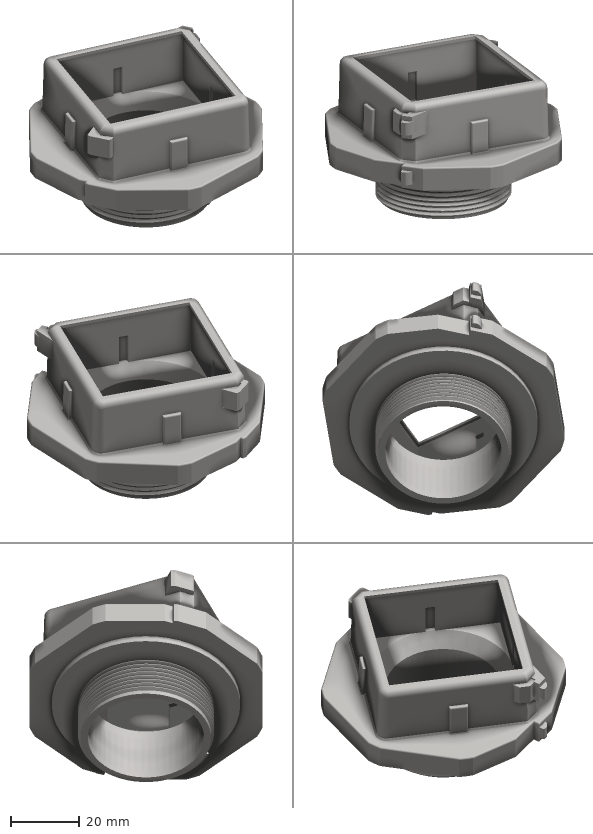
import cadquery as cq
import math

collar_bottom = 13.0
flange_bottom = 15.0
flange_top = 22.0
total_height = 39.7

thread_root_radius = 19.0
thread_crest_radius = 19.92
thread_pitch = 1.5
thread_start_z = 0.92
thread_turns = 8
thread_crest_width = 0.2
thread_root_width = 1.24
thread_overlap = 0.15
collar_radius = 27.5

flange_sides = 8
flange_turn = 180 / flange_sides
flange_across_flats = 68.0
flange_corner_radius = 36.0
flange_edge_fillet = 0.5
back_flat_y = 34.45
back_step_x = 0.95
back_step_y = 32.55
front_flat_y = -34.92
front_step_x = -5.53
front_step_y = -33.5
step_chamfer_x = 1.08
step_chamfer_y = 0.45

socket_turn = 45
wall_turns = [socket_turn + 90 * wall for wall in range(4)]
socket_half_base = 23.75
socket_draft = 1.5
socket_side_corner_radius = 3.0
socket_flat_y = 31.3
socket_rim_fillet = 2.0
socket_foot = 0.5
foot_bevel_angle = 45
opening_half = 19.87
lip_height = 1.0
cavity_half = 20.7
cavity_floor = 22.2

bore_radius = 17.0
cone_top_radius = 21.0
cone_depth = 4.0

rib_width = 5.5
rib_reach = 24.83
rib_root = 22.5
rib_height = 9.85
rib_foot_depth = 0.22
rib_foot_height = 0.3
rib_fillet = 0.5
rib_slot_width = 2.9
rib_slot_reach = 22.05
rib_slot_top = 31.5

lug_bottom = 30.8
lug_top = 37.1
front_lug_y = -32.87
front_lug_right = 1.95
front_lug_corner_radius = 1.1
front_lug_slit_y = -31.2
front_lug_slit_left = -2.1
lug_split_x = -0.15
back_lug_right = 5.0
back_lug_chamfer = 2.3
hook_bottom = 30.55
hook_height = flange_top - flange_bottom
hook_root_x = -5.0
hook_root_y = 28.0
hook_end_x = -2.3

tip_height = 4.0
tip_inset = (hook_height - tip_height) / 2
tip_root_y = 33.46
tip_left = -2.78
tip_bulge_x = -2.25
tip_bulge_y = 34.85
tip_right = 0.74
tip_end_y = 36.07
tip_crown_x = -0.8
tip_corner_radius = 0.55

outline_reach = 2 * flange_corner_radius


def prism(points, bottom, height):
    """Upright prism over a closed polygon."""
    return cq.Workplane("XY").workplane(offset=bottom).polyline(points).close().extrude(height)


def cylinder(radius, bottom, top):
    return cq.Workplane("XY").workplane(offset=bottom).circle(radius).extrude(top - bottom)


def square_block(half, bottom, top):
    """Square prism with its corners on the X and Y axes."""
    block = cq.Workplane("XY").workplane(offset=bottom).rect(2 * half, 2 * half).extrude(top - bottom)
    return block.rotate((0, 0, 0), (0, 0, 1), socket_turn)


def make_thread():
    """Right-hand helical ridge, slightly sunk into the spigot."""
    height = thread_turns * thread_pitch
    root = thread_root_radius - thread_overlap
    helix = cq.Wire.makeHelix(thread_pitch, height, thread_root_radius)
    profile = [
        (root, -thread_root_width / 2),
        (thread_root_radius, -thread_root_width / 2),
        (thread_crest_radius, -thread_crest_width / 2),
        (thread_crest_radius, thread_crest_width / 2),
        (thread_root_radius, thread_root_width / 2),
        (root, thread_root_width / 2),
    ]
    ridge = cq.Workplane("XZ").polyline(profile).close().sweep(cq.Workplane(helix), isFrenet=True)
    return ridge.translate((0, 0, thread_start_z))


def make_flange():
    """Octagon with rounded corners, stepped along its back and front flats."""
    height = flange_top - flange_bottom
    base = cq.Workplane("XY").workplane(offset=flange_bottom)
    octagon = base.polygon(flange_sides, flange_across_flats, circumscribed=True).extrude(height)
    octagon = octagon.rotate((0, 0, 0), (0, 0, 1), flange_turn)
    rounded = octagon.intersect(cylinder(flange_corner_radius, flange_bottom, flange_top))
    stepped_outline = [
        (-outline_reach, back_flat_y),
        (back_step_x, back_flat_y),
        (back_step_x, back_step_y),
        (outline_reach, back_step_y),
        (outline_reach, front_flat_y),
        (front_step_x + step_chamfer_x, front_flat_y),
        (front_step_x, front_flat_y + step_chamfer_y),
        (front_step_x, front_step_y),
        (-outline_reach, front_step_y),
    ]
    flange = rounded.intersect(prism(stepped_outline, flange_bottom, height))
    return flange.faces(">Z").edges().fillet(flange_edge_fillet)


def socket_outline(bottom, margin):
    """Square outline with rounded X corners and flat Y corners, grown outward by margin."""
    half = socket_half_base + margin
    diagonal = half * math.sqrt(2)
    flat_y = socket_flat_y + margin
    flat_x = diagonal - flat_y
    radius = socket_side_corner_radius + margin
    arc_tip = diagonal - radius * (math.sqrt(2) - 1)
    arc_y = radius / math.sqrt(2)
    arc_x = diagonal - arc_y
    return (
        cq.Workplane("XY").workplane(offset=bottom)
        .moveTo(-flat_x, -flat_y)
        .lineTo(flat_x, -flat_y)
        .lineTo(arc_x, -arc_y)
        .threePointArc((arc_tip, 0), (arc_x, arc_y))
        .lineTo(flat_x, flat_y)
        .lineTo(-flat_x, flat_y)
        .lineTo(-arc_x, arc_y)
        .threePointArc((-arc_tip, 0), (-arc_x, -arc_y))
        .close()
    )


def make_socket():
    """Drafted solid block with a rounded rim and a bevelled foot."""
    block = socket_outline(flange_top, 0).extrude(total_height - flange_top, taper=socket_draft)
    block = block.faces(">Z").edges().fillet(socket_rim_fillet)
    foot = socket_outline(flange_top, socket_foot).extrude(socket_foot, taper=foot_bevel_angle)
    return block.union(foot)


def make_rib(turn):
    """Rib with a bevelled foot, its outer face following the draft of the socket wall."""
    lean = rib_height * math.tan(math.radians(socket_draft))
    rib_top = flange_top + rib_height
    side = [
        (rib_root, flange_top),
        (rib_reach, flange_top),
        (rib_reach - lean, rib_top),
        (rib_root, rib_top),
    ]
    rib = cq.Workplane("XZ").polyline(side).close().extrude(rib_width / 2, both=True)
    rib = rib.faces(">X").edges("not <Z").fillet(rib_fillet)
    foot_side = [
        (rib_root, flange_top),
        (rib_reach + rib_foot_depth, flange_top),
        (rib_reach, flange_top + rib_foot_height),
        (rib_root, flange_top + rib_foot_height),
    ]
    rib = rib.union(cq.Workplane("XZ").polyline(foot_side).close().extrude(rib_width / 2, both=True))
    return rib.rotate((0, 0, 0), (0, 0, 1), turn)


def make_rib_slot(turn):
    """Groove in the inner wall behind a rib."""
    slot = cq.Workplane("XY").box(
        rib_slot_reach, rib_slot_width, rib_slot_top - cavity_floor, centered=(False, True, False)
    )
    return slot.translate((0, 0, cavity_floor)).rotate((0, 0, 0), (0, 0, 1), turn)


def make_front_lug():
    """Lug in line with the front step, with a slit beside the flat socket corner."""
    height = lug_top - lug_bottom
    outline = [
        (front_step_x, 0),
        (front_lug_right, 0),
        (front_lug_right, front_lug_y),
        (front_step_x + step_chamfer_x, front_lug_y),
        (front_step_x, front_lug_y + step_chamfer_y),
    ]
    lug = prism(outline, lug_bottom, height)
    lug = lug.edges("|Z and >X and <Y").fillet(front_lug_corner_radius)
    slit = [
        (front_lug_slit_left, 0),
        (lug_split_x, 0),
        (lug_split_x, front_lug_slit_y),
        (front_lug_slit_left, front_lug_slit_y),
    ]
    return lug.cut(prism(slit, lug_bottom, height))


def make_back_lug():
    """Lug with one bevelled corner, beside the hook."""
    outline = [
        (lug_split_x, 0),
        (back_lug_right, 0),
        (back_lug_right, back_step_y - back_lug_chamfer),
        (back_lug_right - back_lug_chamfer, back_step_y),
        (lug_split_x, back_step_y),
    ]
    return prism(outline, lug_bottom, lug_top - lug_bottom)


def make_hook():
    """Tapered arm reaching out to the back flat of the flange."""
    outline = [
        (lug_split_x, 0),
        (lug_split_x, back_step_y),
        (back_step_x, back_step_y),
        (back_step_x, back_flat_y),
        (hook_end_x, back_flat_y),
        (hook_root_x, hook_root_y),
        (hook_root_x, 0),
    ]
    return prism(outline, hook_bottom, hook_height)


def make_tip(bottom):
    """Latch tip with a rounded nose."""
    tip = (
        cq.Workplane("XY").workplane(offset=bottom)
        .moveTo(tip_left, tip_root_y)
        .threePointArc((tip_bulge_x, tip_bulge_y), (tip_crown_x, tip_end_y))
        .lineTo(tip_right, tip_end_y)
        .lineTo(tip_right, tip_root_y)
        .close()
        .extrude(tip_height)
    )
    return tip.edges("|Z and >X and >Y").fillet(tip_corner_radius)


def make_cavity():
    """Square cavity with an overhanging lip, rib slots, countersink and through bore."""
    lip_bottom = total_height - lip_height
    cavity = square_block(cavity_half, cavity_floor, lip_bottom)
    cavity = cavity.union(square_block(opening_half, cavity_floor, total_height))
    for turn in wall_turns:
        cavity = cavity.union(make_rib_slot(turn))
    cone_profile = [
        (0, 0),
        (bore_radius, 0),
        (bore_radius, cavity_floor - cone_depth),
        (cone_top_radius, cavity_floor),
        (0, cavity_floor),
    ]
    bore = cq.Workplane("XZ").polyline(cone_profile).close().revolve(360, (0, 0, 0), (0, 1, 0))
    return cavity.union(bore)


body = cylinder(thread_root_radius, 0, flange_bottom)
body = body.union(cylinder(collar_radius, collar_bottom, flange_bottom))
body = body.union(make_flange()).union(make_socket())
for turn in wall_turns:
    body = body.union(make_rib(turn))
body = body.union(make_front_lug()).union(make_back_lug()).union(make_hook())
for tip_base in (flange_bottom, hook_bottom):
    body = body.union(make_tip(tip_base + tip_inset))
body = body.cut(make_cavity())
result = body.union(make_thread())